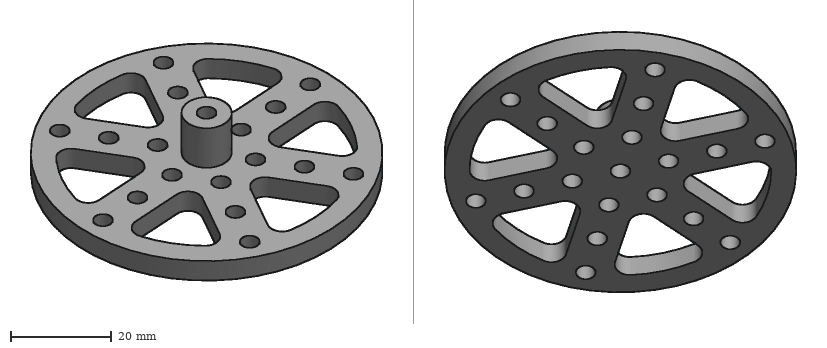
import cadquery as cq
import math

disk_diameter = 70.0
total_height = 15.0
hub_diameter = 10.0
hub_height = 10.0
disk_thickness = total_height - hub_height

spoke_count = 6
spoke_angle = 360 / spoke_count
spoke_width = 10.0
window_outer_radius = 30.0
window_corner_radius = 3.0

hole_diameter = 3.9
hole_pitch = 10.0
holes_per_spoke = 3


def polar(radius, angle):
    """Point at a radius and an angle in degrees from +X."""
    return radius * math.cos(math.radians(angle)), radius * math.sin(math.radians(angle))


def window_cutter():
    """Rounded sector between the spoke along +X and the next spoke."""
    half_spoke = spoke_width / 2
    middle_angle = spoke_angle / 2
    apex = polar(half_spoke / math.sin(math.radians(middle_angle)), middle_angle)
    side_angle = math.degrees(math.asin(half_spoke / window_outer_radius))
    return (
        cq.Workplane("XY")
        .moveTo(*apex)
        .lineTo(*polar(window_outer_radius, side_angle))
        .threePointArc(
            polar(window_outer_radius, middle_angle),
            polar(window_outer_radius, spoke_angle - side_angle),
        )
        .close()
        .extrude(disk_thickness)
        .edges("|Z")
        .fillet(window_corner_radius)
    )


disk = cq.Workplane("XY").circle(disk_diameter / 2).extrude(disk_thickness)
hub = cq.Workplane("XY").circle(hub_diameter / 2).extrude(total_height)
result = disk.union(hub)

window = window_cutter()
for spoke in range(spoke_count):
    result = result.cut(window.rotate((0, 0, 0), (0, 0, 1), spoke * spoke_angle))

hole_centers = [(0, 0)]
for spoke in range(spoke_count):
    for step in range(1, holes_per_spoke + 1):
        hole_centers.append(polar(step * hole_pitch, spoke * spoke_angle))

holes = cq.Workplane("XY").pushPoints(hole_centers).circle(hole_diameter / 2).extrude(total_height)
result = result.cut(holes)